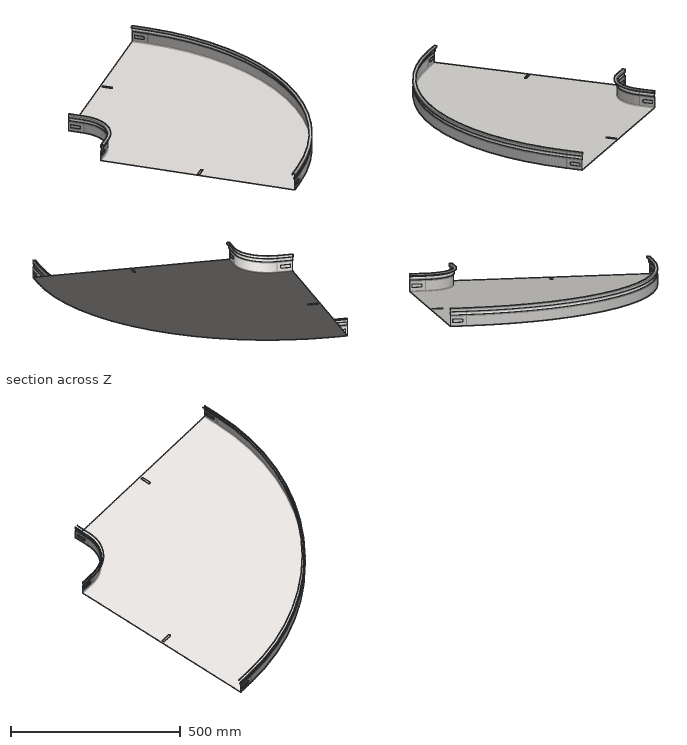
import cadquery as cq
import math

size = 752.0
height = 54.0
inner_wall = 150.0
straight = 48.0
sheet = 1.5
bend = 1.9

rim_width = 10.0
rim_drop = 5.0
groove_top = 44.0
groove_bottom = 34.5
groove_depth = 3.0
ease_drop = 3.0
ease_depth = 1.0

recess = 0.4
slot_start = 7.0
wall_slot_length = 31.0
wall_slot_width = 10.0
wall_slot_height = 17.0
floor_slot_length = 31.5
floor_slot_width = 7.0

diagonal = math.sqrt(0.5)


def bend_middle(center, radius, side):
    """Middle of a quarter bend; side holds the signs of its direction from the centre."""
    return (center[0] + side[0] * radius * diagonal, center[1] + side[1] * radius * diagonal)


def wall_section(plane, place):
    """Wall cross-section; place(depth) maps the depth behind the wall face to a position."""
    inner_bend = bend - sheet
    low = (bend, bend)
    high = (bend, height - bend)
    tip = (rim_width - bend, height - bend)
    groove_middle = (groove_top + groove_bottom) / 2
    ease_middle = (ease_depth / 4, groove_bottom - ease_drop / 2)
    lip_end = height - rim_drop

    def at(point):
        return (place(point[0]), point[1])

    def behind(point):
        return at((point[0] + sheet, point[1]))

    return (
        cq.Workplane(plane)
        .moveTo(*at((bend, 0)))
        .threePointArc(at(bend_middle(low, bend, (-1, -1))), at((0, bend)))
        .lineTo(*at((0, groove_bottom - ease_drop)))
        .threePointArc(at(ease_middle), at((ease_depth, groove_bottom)))
        .threePointArc(at((groove_depth, groove_middle)), at((0, groove_top)))
        .lineTo(*at((0, height - bend)))
        .threePointArc(at(bend_middle(high, bend, (-1, 1))), at((bend, height)))
        .lineTo(*at((rim_width - bend, height)))
        .threePointArc(at(bend_middle(tip, bend, (1, 1))), at((rim_width, height - bend)))
        .lineTo(*at((rim_width, lip_end)))
        .lineTo(*at((rim_width - sheet, lip_end)))
        .lineTo(*at((rim_width - sheet, height - bend)))
        .threePointArc(at(bend_middle(tip, inner_bend, (1, 1))), at((rim_width - bend, height - sheet)))
        .lineTo(*at((bend, height - sheet)))
        .threePointArc(at(bend_middle(high, inner_bend, (-1, 1))), at((sheet, height - bend)))
        .lineTo(*behind((0, groove_top)))
        .threePointArc(behind((groove_depth, groove_middle)), behind((ease_depth, groove_bottom)))
        .threePointArc(behind(ease_middle), behind((0, groove_bottom - ease_drop)))
        .lineTo(*at((sheet, bend)))
        .threePointArc(at(bend_middle(low, inner_bend, (-1, -1))), at((bend, sheet)))
        .close()
    )


def wall(face, inward):
    """Complete wall whose face lies at the given distance; inward is the sign towards the tray."""
    def place(depth):
        return face + inward * depth

    def place_from_center(depth):
        return place(depth) - straight

    along_x = wall_section("YZ", place).extrude(straight)
    along_y = wall_section("XZ", place).extrude(-straight)
    curve = (
        wall_section("XZ", place_from_center)
        .revolve(90, (0, 0, 0), (0, 1, 0))
        .translate((straight, straight, 0))
    )
    return curve.union(along_x).union(along_y)


def floor():
    """Flat quarter-bend floor that ends where the wall bends begin."""
    outer = size - bend
    inner = inner_wall + bend
    outer_arc = straight + (outer - straight) * diagonal
    inner_arc = straight + (inner - straight) * diagonal
    return (
        cq.Workplane("XY")
        .moveTo(inner, 0)
        .lineTo(outer, 0)
        .lineTo(outer, straight)
        .threePointArc((outer_arc, outer_arc), (straight, outer))
        .lineTo(0, outer)
        .lineTo(0, inner)
        .lineTo(straight, inner)
        .threePointArc((inner_arc, inner_arc), (inner, straight))
        .close()
        .extrude(sheet)
    )


def slot(length, width):
    """Slot outline along X: square at its start, round at its far end."""
    half = width / 2
    return (
        cq.Workplane("XY")
        .moveTo(slot_start, -half)
        .lineTo(slot_start + length - half, -half)
        .threePointArc((slot_start + length, 0), (slot_start + length - half, half))
        .lineTo(slot_start, half)
        .close()
    )


def knock_out(length, width):
    """Cutter for a sheet lying between Z = 0 and Z = sheet: everything but the middle web."""
    near_face = slot(length, width).extrude(recess)
    far_face = near_face.translate((0, 0, sheet - recess))
    return near_face.union(far_face)


def mirrored(cutter):
    """The same cutter with X and Y swapped."""
    return cutter.mirror("YZ").rotate((0, 0, 0), (0, 0, 1), -90)


floor_knock_out = knock_out(floor_slot_length, floor_slot_width).translate((0, (inner_wall + size) / 2, 0))
wall_knock_out = knock_out(wall_slot_length, wall_slot_width).rotate((0, 0, 0), (1, 0, 0), -90)
inner_wall_knock_out = wall_knock_out.translate((0, inner_wall, wall_slot_height))
outer_wall_knock_out = wall_knock_out.translate((0, size - sheet, wall_slot_height))

result = floor().union(wall(size, -1)).union(wall(inner_wall, 1))
for cutter in (floor_knock_out, inner_wall_knock_out, outer_wall_knock_out):
    result = result.cut(cutter).cut(mirrored(cutter))